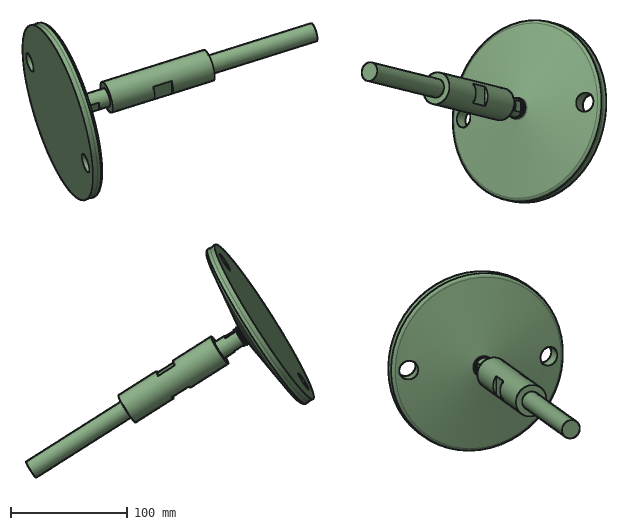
import cadquery as cq
import math

total_length = 239.0

foot_radius = 158.0 / 2
waist_height = 4.3
waist_depth = 0.5
rim_top_height = 7.5
cone_edge_radius = 76.2
cone_edge_height = 9.8
cone_top_radius = 9.5
cone_top_height = 21.0
cone_angle = math.atan2(cone_top_height - cone_edge_height, cone_edge_radius - cone_top_radius)
collar_height = 22.2
lip_radius = 9.0
lip_edge_height = 23.2
foot_top_height = 23.7

hole_diameter = 16.5
hole_offset = 62.4
hole_cutter_length = 47.8

stem_diameter = 16.5
stem_radius = stem_diameter / 2
neck_diameter = 13.6
neck_radius = neck_diameter / 2
neck_top_height = 24.5
stem_flat_start = 26.3
stem_flat_end = 35.5
stem_across_flats = 13.6

sleeve_diameter = 28.0
sleeve_start = 45.6
sleeve_length = 95.1
sleeve_flat_length = 17.2
sleeve_flat_start = sleeve_start + (sleeve_length - sleeve_flat_length) / 2
sleeve_across_flats = 22.2


def cylinder_along_y(diameter, start, end):
    """Cylinder on the Y axis between two heights."""
    base = cq.Workplane(cq.Plane((0, start, 0), xDir=(1, 0, 0), normal=(0, 1, 0)))
    return base.circle(diameter / 2).extrude(end - start)


def cut_flats(body, diameter, across_flats, start, end):
    """Cut a pair of opposite wrench flats facing -X and +X."""
    depth = (diameter - across_flats) / 2
    for side in (-1, 1):
        cutter = cq.Workplane("XY").box(depth, end - start, diameter)
        x = side * (across_flats + depth) / 2
        body = body.cut(cutter.translate((x, (start + end) / 2, 0)))
    return body


def make_hole_cutter(side):
    """Cylinder through the foot, leaning outward to stand square to the cone."""
    direction = cq.Vector(side * math.sin(cone_angle), math.cos(cone_angle), 0)
    underside_center = cq.Vector(side * hole_offset, 0, 0)
    start = underside_center - direction * (hole_cutter_length / 2)
    return cq.Solid.makeCylinder(hole_diameter / 2, hole_cutter_length, start, direction)


def make_foot():
    """Conical foot with a slightly waisted rim, a collar with a thin lip and two holes."""
    foot = (
        cq.Workplane("XY")
        .lineTo(0, foot_top_height)
        .lineTo(neck_radius, foot_top_height)
        .lineTo(lip_radius, lip_edge_height)
        .lineTo(stem_radius, collar_height)
        .lineTo(stem_radius, cone_top_height)
        .lineTo(cone_top_radius, cone_top_height)
        .lineTo(cone_edge_radius, cone_edge_height)
        .tangentArcPoint((foot_radius, rim_top_height), relative=False)
        .lineTo(foot_radius - waist_depth, waist_height)
        .lineTo(foot_radius, 0)
        .close()
        .revolve(360, (0, 0, 0), (0, 1, 0))
    )
    for side in (-1, 1):
        foot = foot.cut(make_hole_cutter(side))
    return foot


def make_stem():
    """Plain rod standing on the foot through a narrow neck, with wrench flats."""
    neck = cylinder_along_y(neck_diameter, foot_top_height, neck_top_height)
    rod = cylinder_along_y(stem_diameter, neck_top_height, total_length)
    stem = rod.union(neck)
    return cut_flats(stem, stem_diameter, stem_across_flats, stem_flat_start, stem_flat_end)


def make_sleeve():
    """Tube around the stem with wrench flats at mid length."""
    sleeve_end = sleeve_start + sleeve_length
    sleeve = cylinder_along_y(sleeve_diameter, sleeve_start, sleeve_end)
    sleeve = sleeve.cut(cylinder_along_y(stem_diameter, sleeve_start, sleeve_end))
    sleeve_flat_end = sleeve_flat_start + sleeve_flat_length
    return cut_flats(sleeve, sleeve_diameter, sleeve_across_flats, sleeve_flat_start, sleeve_flat_end)


foot = make_foot()
stem = make_stem()
sleeve = make_sleeve()
result = cq.Compound.makeCompound([foot.val(), stem.val(), sleeve.val()])